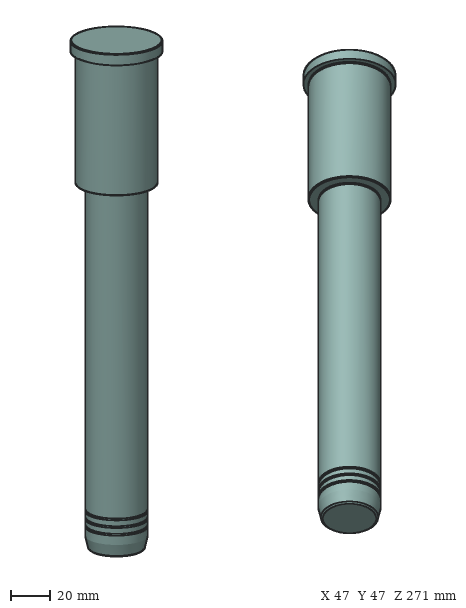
import cadquery as cq

total_length = 271.0

head_diameter = 47.0
head_height = 6.0
head_chamfer = 0.5

sleeve_diameter = 42.0
sleeve_end_depth = 76.5
sleeve_chamfer = 0.5

shaft_diameter = 32.0

tip_height = 7.0
tip_diameter = 28.7
tip_chamfer = 0.8

groove_width = 1.0
groove_depth = 0.3
tip_groove_count = 3
tip_groove_pitch = 4.0
lowest_groove_z = 12.0

sleeve_bottom_z = total_length - sleeve_end_depth
head_bottom_z = total_length - head_height


def cylinder(diameter, bottom_z, top_z):
    """Solid cylinder on the Z axis between two heights."""
    return cq.Workplane("XY").workplane(offset=bottom_z).circle(diameter / 2).extrude(top_z - bottom_z)


def tapered_shaft():
    """Shaft up to the sleeve, with a tapered and chamfered lower end."""
    shaft_radius = shaft_diameter / 2
    tip_radius = tip_diameter / 2
    profile = (
        cq.Workplane("XZ")
        .lineTo(tip_radius, 0)
        .lineTo(shaft_radius, tip_height)
        .lineTo(shaft_radius, sleeve_bottom_z)
        .lineTo(0, sleeve_bottom_z)
        .close()
    )
    shaft = profile.revolve(360, (0, 0), (0, 1))
    return shaft.faces("<Z").edges().chamfer(tip_chamfer)


def groove_ring(body_diameter, bottom_z):
    """Ring of material that one groove removes from a round body."""
    top_z = bottom_z + groove_width
    outer = cylinder(body_diameter, bottom_z, top_z)
    core = cylinder(body_diameter - 2 * groove_depth, bottom_z, top_z)
    return outer.cut(core)


shaft = tapered_shaft()
for index in range(tip_groove_count):
    shaft = shaft.cut(groove_ring(shaft_diameter, lowest_groove_z + index * tip_groove_pitch))
shaft = shaft.cut(groove_ring(shaft_diameter, sleeve_bottom_z - groove_width))

sleeve = cylinder(sleeve_diameter, sleeve_bottom_z, head_bottom_z)
sleeve = sleeve.faces("<Z").edges().chamfer(sleeve_chamfer)
sleeve = sleeve.cut(groove_ring(sleeve_diameter, head_bottom_z - groove_width))

head = cylinder(head_diameter, head_bottom_z, total_length)
head = head.faces(">Z").edges().chamfer(head_chamfer)

result = shaft.union(sleeve).union(head)